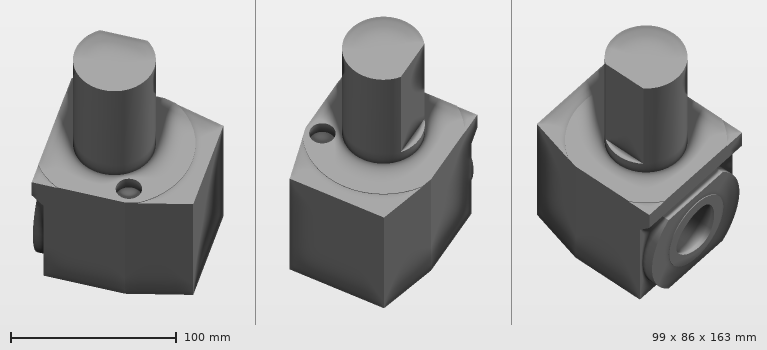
import cadquery as cq
import math

overall_height = 163
block_width = 86.0
pad_height = 0.5
seat_z = 85.0
block_height = seat_z - pad_height

ring_face_x = -40.0
flange_face_x = ring_face_x + pad_height
back_x = ring_face_x + 99.0
taper_start_x = 19.2
taper_angle = 15

shank_diameter = 50.0
shank_flat_y = 20.0
shank_flat_start = 8.0
seat_diameter = 98.0

pin_hole_diameter = 16.0
pin_hole_x = 18.5
pin_hole_y = -32.0
pin_hole_depth = 8.0

lip_height = 12.5
relief_depth = 7.5
flange_diameter = 81.0
flange_height = 63.5
flange_axis_z = flange_height / 2
ring_diameter = 50.0

bore_mean_diameter = 35.0
bore_lobe_height = 1.0
bore_depth = 30.0
bore_taper = 1 / 20
bore_curve_points = 48


def block_outline(bottom_z, height):
    """Block plan shape with a tapered back, extruded upward."""
    half_width = block_width / 2
    back_half_width = half_width - (back_x - taper_start_x) * math.tan(math.radians(taper_angle))
    return (
        cq.Workplane("XY", origin=(0, 0, bottom_z))
        .moveTo(flange_face_x, -half_width)
        .lineTo(taper_start_x, -half_width)
        .lineTo(back_x, -back_half_width)
        .lineTo(back_x, back_half_width)
        .lineTo(taper_start_x, half_width)
        .lineTo(flange_face_x, half_width)
        .close()
        .extrude(height)
    )


def front_relief():
    """Material removed below the front lip, with a 45 degree upper slope."""
    lip_bottom_z = seat_z - lip_height
    relief_x = flange_face_x + relief_depth
    return (
        cq.Workplane("XZ")
        .moveTo(flange_face_x, 0)
        .lineTo(relief_x, 0)
        .lineTo(relief_x, lip_bottom_z - relief_depth)
        .lineTo(flange_face_x, lip_bottom_z)
        .close()
        .extrude(block_width / 2, both=True)
    )


def front_disc(face_x, diameter, thickness):
    """Disc on the tool axis, running inward (+X) from its front face."""
    return (
        cq.Workplane("YZ", origin=(face_x, 0, flange_axis_z))
        .circle(diameter / 2)
        .extrude(thickness)
    )


def flange():
    disc = front_disc(flange_face_x, flange_diameter, relief_depth)
    flats = cq.Workplane("XY").box(
        block_width * 2, block_width, flange_height, centered=(True, True, False)
    )
    return disc.intersect(flats)


def seat():
    disc = cq.Workplane("XY").circle(seat_diameter / 2).extrude(seat_z)
    return disc.intersect(block_outline(block_height, pad_height))


def shank():
    body = (
        cq.Workplane("XY", origin=(0, 0, block_height))
        .circle(shank_diameter / 2)
        .extrude(overall_height - block_height)
    )
    flat_cut = (
        cq.Workplane("XY", origin=(0, shank_flat_y, seat_z + shank_flat_start))
        .box(shank_diameter, shank_diameter, overall_height, centered=(True, False, False))
    )
    return body.cut(flat_cut)


def bore_point(angle, mean_diameter):
    """Three-lobed curve of nearly constant width, with one lobe toward +Y."""
    reach = mean_diameter / 2 + bore_lobe_height * math.cos(3 * angle)
    slope = -3 * bore_lobe_height * math.sin(3 * angle)
    y = reach * math.cos(angle) - slope * math.sin(angle)
    z = reach * math.sin(angle) + slope * math.cos(angle)
    return (y, z)


def bore_curve(mean_diameter):
    step = 2 * math.pi / bore_curve_points
    return [bore_point(i * step, mean_diameter) for i in range(bore_curve_points)]


def polygon_bore():
    """Tapered three-lobed socket, narrowing inward."""
    end_diameter = bore_mean_diameter - bore_taper * bore_depth
    return (
        cq.Workplane("YZ", origin=(ring_face_x, 0, flange_axis_z))
        .spline(bore_curve(bore_mean_diameter), periodic=True)
        .close()
        .workplane(offset=bore_depth)
        .spline(bore_curve(end_diameter), periodic=True)
        .close()
        .loft(ruled=True)
    )


def pin_hole():
    return (
        cq.Workplane("XY", origin=(pin_hole_x, pin_hole_y, seat_z - pin_hole_depth))
        .circle(pin_hole_diameter / 2)
        .extrude(pin_hole_depth)
    )


ring = front_disc(ring_face_x, ring_diameter, relief_depth)

result = (
    block_outline(0, block_height)
    .cut(front_relief())
    .union(flange())
    .union(ring)
    .union(seat())
    .union(shank())
    .cut(pin_hole())
    .cut(polygon_bore())
)